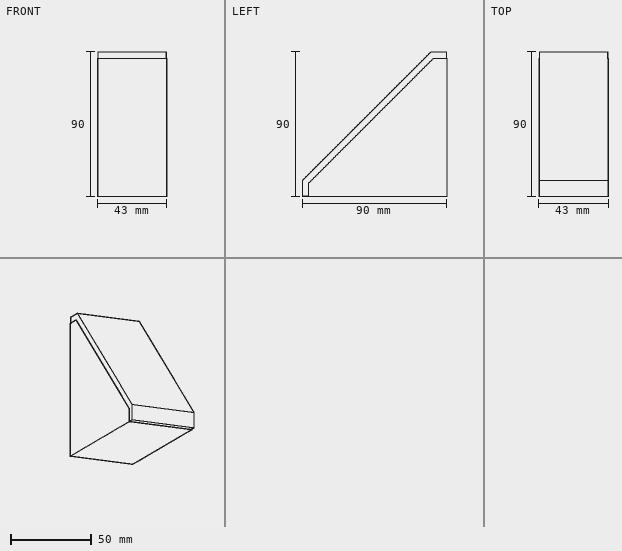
import cadquery as cq
import math

side = 90.0
body_width = 43.0

lid_thickness = 4.0
lid_inset = 0.2
lid_land = 10.1

lid_width = body_width - 2 * lid_inset
body_side = side - lid_thickness

body_land = lid_land - lid_thickness * (math.sqrt(2) - 1)


def wedge(start, end, land, width):
    """Right-angled wedge with blunted tips, centred on X.

    Both legs run from start to end; each tip is cut flat up to the land coordinate.
    """
    profile = [
        (start, start),
        (end, start),
        (end, land),
        (land, end),
        (start, end),
    ]
    return cq.Workplane("YZ").polyline(profile).close().extrude(width / 2, both=True)


body = wedge(0, body_side, body_land, body_width)
lid = wedge(lid_inset, side, lid_land, lid_width)

result = body.union(lid)